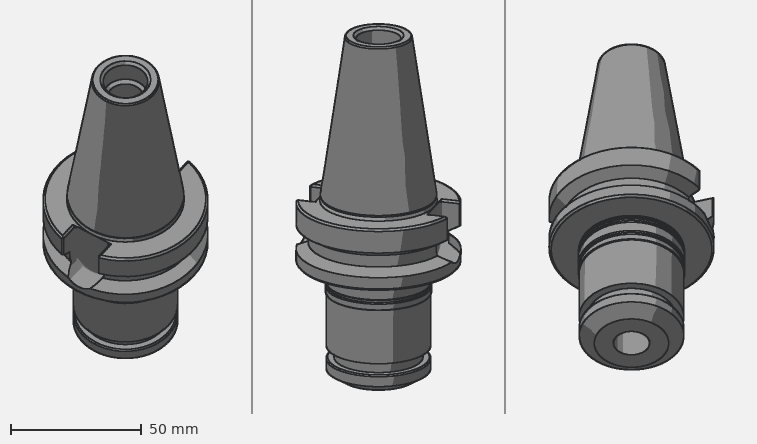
import cadquery as cq
import math

total_height = 139.4

body_radius = 40.0 / 2
nose_tip_radius = 14.2
nose_cone_height = 3.6
nose_edge_chamfer = 0.5
snap_groove_radius = 17.0
snap_groove_bottom = 8.2
snap_groove_top = 13.0

ring_radius = 40.5 / 2
ring_start = 34.7
ring_end = 46.1
ring_chamfer = 0.3
ring_groove_radius = 19.8
ring_grooves = ((37.4, 39.2), (43.4, 45.2))

flange_radius = 31.5
flange_bottom = 47.0
flange_top = 72.1
flange_chamfer = 0.8
v_groove_radius = 26.9
v_floor_bottom = 55.0
v_floor_top = 59.8
v_flank_angle = 30.0
v_flank_height = (flange_radius - v_groove_radius) * math.tan(math.radians(v_flank_angle))

neck_radius = 21.9
neck_height = 73.5
neck_foot_radius = 22.5
taper_base = 74.3
taper_base_radius = 22.3
taper_slope = 7 / 48
tip_chamfer = 0.7
tip_radius = taper_base_radius - (total_height - taper_base) * taper_slope

slot_half_width = 8.1
slot_floor = 22.5
slot_floor_fillet = 0.8
slot_center_height = 58.7
slot_top_chamfer = 0.8
slot_mouth_chamfer = 0.7

bore_radius = 13.8 / 2
counterbore_radius = 8.5
counterbore_depth = 9.0
counterbore_cone_height = 1.0
mouth_radius = 9.6
mouth_depth = 1.1


def revolve_profile(points):
    """Turn (radius, height) points into a solid about Z."""
    return cq.Workplane("XZ").polyline(points).close().revolve(360, (0, 0, 0), (0, 1, 0))


def turned_body():
    points = [
        (0, 0),
        (nose_tip_radius, 0),
        (body_radius, nose_cone_height),
        (body_radius, snap_groove_bottom - nose_edge_chamfer),
        (body_radius - nose_edge_chamfer, snap_groove_bottom),
        (snap_groove_radius, snap_groove_bottom),
        (snap_groove_radius, snap_groove_top),
        (body_radius, snap_groove_top),
        (body_radius, ring_start),
        (ring_radius, ring_start + ring_chamfer),
    ]
    groove_chamfer = ring_radius - ring_groove_radius
    for lower, upper in ring_grooves:
        points += [
            (ring_radius, lower),
            (ring_groove_radius, lower + groove_chamfer),
            (ring_groove_radius, upper - groove_chamfer),
            (ring_radius, upper),
        ]
    points += [
        (ring_radius, ring_end),
        (body_radius, ring_end),
        (body_radius, flange_bottom),
        (flange_radius - flange_chamfer, flange_bottom),
        (flange_radius, flange_bottom + flange_chamfer),
        (flange_radius, v_floor_bottom - v_flank_height),
        (v_groove_radius, v_floor_bottom),
        (v_groove_radius, v_floor_top),
        (flange_radius, v_floor_top + v_flank_height),
        (flange_radius, flange_top - flange_chamfer),
        (flange_radius - flange_chamfer, flange_top),
        (neck_foot_radius, flange_top),
        (neck_radius, neck_height),
        (taper_base_radius, taper_base),
        (tip_radius + tip_chamfer * taper_slope, total_height - tip_chamfer),
        (tip_radius - tip_chamfer / 2, total_height),
        (0, total_height),
    ]
    return revolve_profile(points)


def drive_slot(side):
    """Cutter for a slot on the +Y (side=1) or -Y (side=-1) face, open at the top."""
    depth = flange_radius
    open_top = flange_top + flange_radius
    cutter = (
        cq.Workplane("XZ", origin=(0, side * slot_floor, 0))
        .moveTo(-slot_half_width, open_top)
        .lineTo(-slot_half_width, slot_center_height)
        .threePointArc(
            (0, slot_center_height - slot_half_width),
            (slot_half_width, slot_center_height),
        )
        .lineTo(slot_half_width, open_top)
        .close()
        .extrude(-side * depth)
    )
    floor_face = "<Y" if side > 0 else ">Y"
    return cutter.faces(floor_face).edges().fillet(slot_floor_fillet)


def slot_top_bevel(side):
    """Cutter for the 45 degree bevels where the slot walls meet the flange top."""
    bevel_start = flange_top - slot_top_chamfer
    top_half_width = slot_half_width + slot_top_chamfer
    return (
        cq.Workplane("XZ", origin=(0, side * slot_floor, 0))
        .polyline([
            (-slot_half_width, bevel_start),
            (slot_half_width, bevel_start),
            (top_half_width, flange_top),
            (-top_half_width, flange_top),
        ])
        .close()
        .extrude(-side * flange_radius)
    )


def slot_mouth_bevel(side):
    """Cutter for the 45 degree bevels where the slot walls meet the upper flange rim."""
    mouth_y = math.sqrt(flange_radius**2 - slot_half_width**2)
    bevel_start = mouth_y - slot_mouth_chamfer
    bevel_end = flange_radius + slot_mouth_chamfer
    outer_half_width = slot_half_width + bevel_end - bevel_start
    return (
        cq.Workplane("XY", origin=(0, 0, v_floor_top))
        .polyline([
            (-slot_half_width, side * bevel_start),
            (slot_half_width, side * bevel_start),
            (outer_half_width, side * bevel_end),
            (-outer_half_width, side * bevel_end),
        ])
        .close()
        .extrude(flange_top - v_floor_top)
    )


def bore():
    counterbore_end = total_height - counterbore_depth
    return revolve_profile([
        (0, 0),
        (bore_radius, 0),
        (bore_radius, counterbore_end - counterbore_cone_height),
        (counterbore_radius, counterbore_end),
        (counterbore_radius, total_height - mouth_depth),
        (mouth_radius, total_height),
        (0, total_height),
    ])


body = turned_body()
for side in (1, -1):
    body = body.cut(drive_slot(side))
    body = body.cut(slot_top_bevel(side))
    body = body.cut(slot_mouth_bevel(side))
result = body.cut(bore())